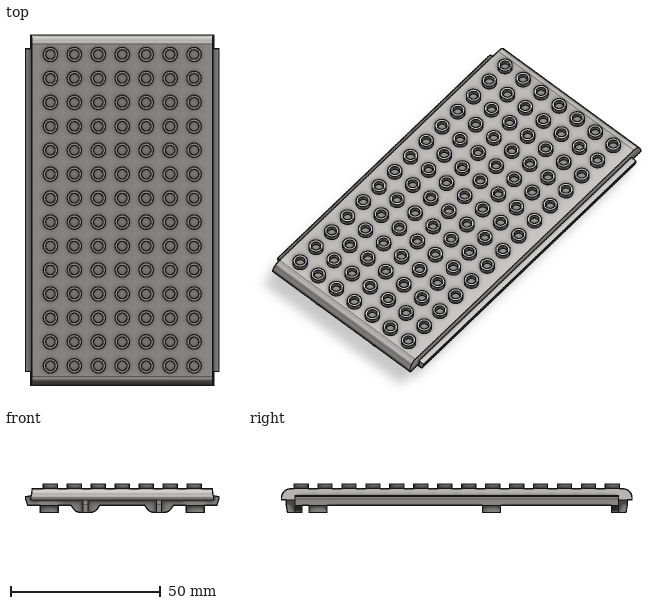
import cadquery as cq

foot_height = 2.3
skirt_z = 4.2
plate_top_z = 8.0
total_height = 9.6

plate_length = 117.2
plate_top_width = 60.2
plate_bottom_width = 61.2
end_radius = 3.0

body_length = 108.0
body_bottom_width = 63.3
rail_width = 64.7
rail_face_bottom_z = 4.6
rail_face_top_z = 5.3
rail_root_z = 5.7

stud_columns = 7
stud_rows = 14
stud_span = 104.0
stud_pitch = stud_span / (stud_rows - 1)
stud_diameter = 4.8
stud_bore = 3.2
stud_height = total_height - plate_top_z

foot_diameter = 6.1
foot_x = 24.4
foot_rows_y = (11.6, -46.4)

tab_x = 12.3
tab_thickness = 2.3
tab_root_width = 9.6
tab_tip_width = 6.3
tab_tip_radius = 2.9
rib_width = 1.8
rib_reach = 3.0
rib_tip_reach = 2.6
rib_taper_z = 2.7


def make_plate():
    """Drafted bar along Y with its upper end edges rounded."""
    half_length = plate_length / 2
    half_top = plate_top_width / 2
    half_bottom = plate_bottom_width / 2
    section = [
        (-half_bottom, skirt_z),
        (half_bottom, skirt_z),
        (half_top, plate_top_z),
        (-half_top, plate_top_z),
    ]
    bar = cq.Workplane("XZ").polyline(section).close().extrude(half_length, both=True)
    rounded = (
        cq.Workplane("YZ")
        .rect(plate_length, 2 * plate_top_z)
        .extrude(plate_bottom_width / 2, both=True)
        .edges("|X and >Z")
        .fillet(end_radius)
    )
    return bar.intersect(rounded)


def make_body():
    """Slab under the plate, including the side rails."""
    right_side = [
        (body_bottom_width / 2, foot_height),
        (rail_width / 2, rail_face_bottom_z),
        (rail_width / 2, rail_face_top_z),
        (plate_top_width / 2, rail_root_z),
    ]
    left_side = [(-x, z) for x, z in reversed(right_side)]
    section = cq.Workplane("XZ").polyline(right_side + left_side).close()
    return section.extrude(body_length / 2, both=True)


def make_studs():
    """Grid of short tubes standing on the plate."""
    return (
        cq.Workplane("XY", origin=(0, 0, plate_top_z))
        .rarray(stud_pitch, stud_pitch, stud_columns, stud_rows)
        .circle(stud_diameter / 2)
        .circle(stud_bore / 2)
        .extrude(stud_height)
    )


def make_feet():
    """Round pads below the body."""
    centres = [(side * foot_x, y) for side in (-1, 1) for y in foot_rows_y]
    return cq.Workplane("XY").pushPoints(centres).circle(foot_diameter / 2).extrude(foot_height)


def make_front_tab(x):
    """Round-cornered tab flush with the -Y end of the body, plus its rib."""
    end_y = -body_length / 2
    outline = [
        (x - tab_root_width / 2, foot_height),
        (x - tab_tip_width / 2, 0),
        (x + tab_tip_width / 2, 0),
        (x + tab_root_width / 2, foot_height),
    ]
    tab = (
        cq.Workplane("XZ", origin=(0, end_y, 0))
        .polyline(outline)
        .close()
        .extrude(-tab_thickness)
        .edges("|Y and <Z")
        .fillet(tab_tip_radius)
    )
    inner_y = end_y + tab_thickness
    outer_y = end_y - rib_reach
    rib_profile = [
        (inner_y, 0),
        (end_y - rib_tip_reach, 0),
        (outer_y, rib_taper_z),
        (outer_y, skirt_z),
        (inner_y, skirt_z),
    ]
    rib = (
        cq.Workplane("YZ", origin=(x, 0, 0))
        .polyline(rib_profile)
        .close()
        .extrude(rib_width / 2, both=True)
    )
    return tab.union(rib)


result = make_plate().union(make_body()).union(make_studs()).union(make_feet())
for x in (-tab_x, tab_x):
    front_tab = make_front_tab(x)
    result = result.union(front_tab).union(front_tab.mirror("XZ"))